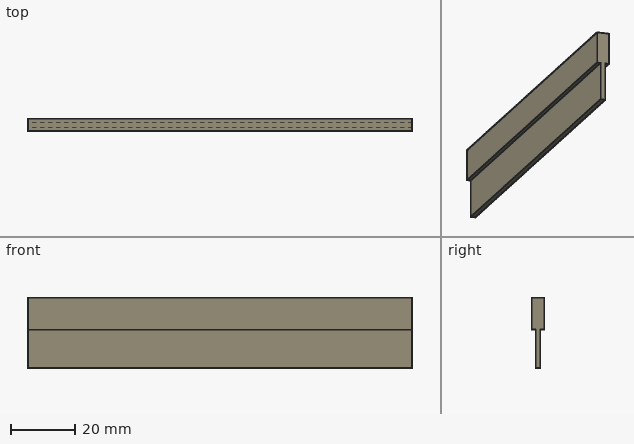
import cadquery as cq

length = 120.0
total_height = 22.0
head_thickness = 4.0
head_height = 10.0
blade_thickness = 1.5

blade_height = total_height - head_height

blade = cq.Workplane("XY").box(length, blade_thickness, blade_height, centered=(True, True, False))

head = (
    cq.Workplane("XY")
    .workplane(offset=blade_height)
    .box(length, head_thickness, head_height, centered=(True, True, False))
)

result = blade.union(head)